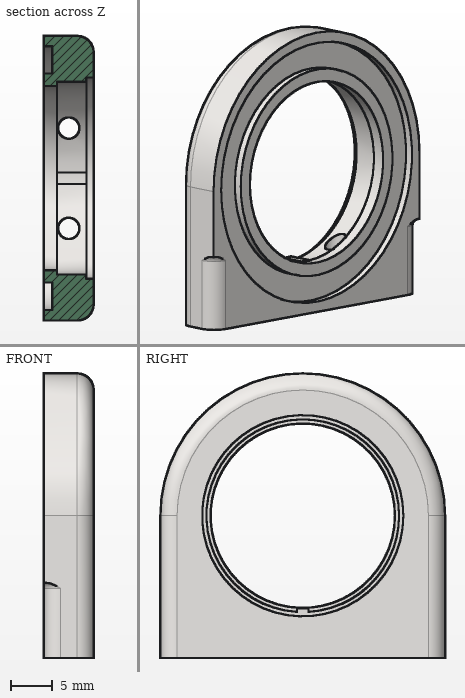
import cadquery as cq

outer_radius = 17.0
thickness = 6.0
edge_round = 2.0

bore_radius = 10.98
recess_radius = 11.5
recess_start = 1.6
rear_bore_radius = 12.0
rear_bore_start = 5.1

key_width = 1.35
key_tip_radius = 11.05

groove_inner_radius = 12.5
groove_outer_radius = 15.75
groove_depth = 1.02

screw_diameter = 2.5
screw_offset = 6.0

corner_round = 2.0
corner_height = 8.33
runout_radius = 0.68


def disc(radius, start, end):
    """Cylinder about the bore axis between two X positions."""
    return cq.Workplane("YZ", origin=(start, 0, 0)).circle(radius).extrude(end - start)


def make_body():
    body = (
        cq.Workplane("YZ")
        .moveTo(-outer_radius, -outer_radius)
        .lineTo(outer_radius, -outer_radius)
        .lineTo(outer_radius, 0)
        .threePointArc((0, outer_radius), (-outer_radius, 0))
        .close()
        .extrude(thickness)
    )
    return body.faces(">X").edges("not(<Z)").fillet(edge_round)


def make_bore():
    recess = disc(recess_radius, recess_start, rear_bore_start)
    key = cq.Workplane("XY").box(
        thickness, key_width, outer_radius, centered=(False, True, False)
    ).translate((0, 0, -outer_radius))
    through = disc(bore_radius, 0, thickness)
    rear = disc(rear_bore_radius, rear_bore_start, thickness)
    key_clearance = disc(key_tip_radius, recess_start, rear_bore_start)
    return recess.cut(key).union(key_clearance).union(through).union(rear)


def make_groove():
    return disc(groove_outer_radius, 0, groove_depth).cut(disc(groove_inner_radius, 0, groove_depth))


def make_screw_holes():
    return (
        cq.Workplane("XY", origin=(thickness / 2, 0, -outer_radius))
        .pushPoints([(0, screw_offset), (0, -screw_offset)])
        .circle(screw_diameter / 2)
        .extrude(outer_radius)
    )


def make_corner_cutter():
    """Waste outside the rounding of the +Y front corner, with its run-out on top."""
    axis_y = outer_radius - corner_round
    cutter_radius = 2 * corner_round
    runout_centre = corner_round + runout_radius
    diagonal = runout_radius * 0.5 ** 0.5
    ring = (
        cq.Workplane("XZ", origin=(corner_round, axis_y, -outer_radius))
        .moveTo(corner_round, 0)
        .lineTo(corner_round, corner_height)
        .threePointArc(
            (runout_centre - diagonal, corner_height + diagonal),
            (runout_centre, corner_height + runout_radius),
        )
        .lineTo(cutter_radius, corner_height + runout_radius)
        .lineTo(cutter_radius, 0)
        .close()
        .revolve(360, (0, 0, 0), (0, 1, 0))
    )
    corner = cq.Workplane("XY").box(
        corner_round, corner_round, outer_radius, centered=False
    ).translate((0, axis_y, -outer_radius))
    return ring.intersect(corner)


result = make_body().cut(make_bore()).cut(make_groove()).cut(make_screw_holes())
corner_cutter = make_corner_cutter()
result = result.cut(corner_cutter).cut(corner_cutter.mirror("XZ"))